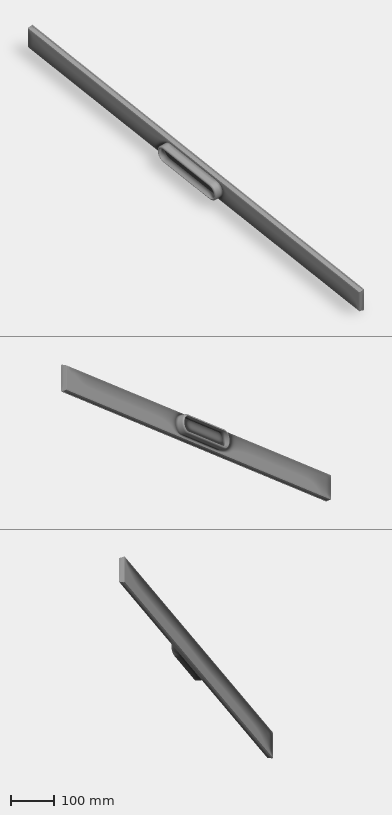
import cadquery as cq
import math

LENGTH = 1200.0
HEIGHT = 65.0
DEPTH = 36.0

COVER_DEPTH = 15.0
FLANGE_THICKNESS = 3.5
FLANGE_RELIEF = 1.1
SIDE_DRAFT = 11.0
SIDE_INSET = 3.4
BEVEL_WIDTH = 3.0
BEVEL_DROP = 0.5

CORE_BASE_HEIGHT = 54.0
CORE_BASE_DEPTH = 10.0
CORE_NOSE_HEIGHT = 40.0
CORE_DEPTH = 12.0

COLLAR_LENGTH = 211.0
COLLAR_HEIGHT = 45.0
COLLAR_WALL = 4.2
COLLAR_ROUND = 4.0
COLLAR_FLOOR = 4.0


def centred_bar(height, depth):
    """A full-length bar from the back plane, centred on X and Z."""
    return cq.Workplane("XY").box(LENGTH, depth, height).translate((0, -depth / 2, 0))


def make_core():
    base = centred_bar(CORE_BASE_HEIGHT, CORE_BASE_DEPTH)
    nose = centred_bar(CORE_NOSE_HEIGHT, CORE_DEPTH)
    return base.union(nose)


def flanged_bar(bevel_start, side_front_height):
    """The flange and the drafted sides, extruded along X as far as the front bevel."""
    side_depth = bevel_start - FLANGE_THICKNESS
    side_back_z = side_front_height / 2 + side_depth * math.tan(math.radians(SIDE_DRAFT))
    upper_half = [
        (0, HEIGHT / 2 - FLANGE_RELIEF),
        (-FLANGE_THICKNESS, HEIGHT / 2),
        (-FLANGE_THICKNESS, side_back_z),
        (-bevel_start, side_front_height / 2),
    ]
    lower_half = [(y, -z) for y, z in reversed(upper_half)]
    outline = cq.Workplane("YZ").polyline(upper_half + lower_half).close()
    return outline.extrude(LENGTH / 2, both=True)


def bevelled_front(bevel_start, side_front_height):
    """The front layer, whose rim slopes gently back on all four sides."""
    rim = cq.Workplane("XZ", origin=(0, -bevel_start, 0)).rect(LENGTH, side_front_height)
    front = rim.workplane(offset=BEVEL_DROP)
    return front.rect(LENGTH - 2 * BEVEL_WIDTH, side_front_height - 2 * BEVEL_WIDTH).loft()


def make_cover():
    bevel_start = COVER_DEPTH - BEVEL_DROP
    side_front_height = HEIGHT - 2 * SIDE_INSET
    bar = flanged_bar(bevel_start, side_front_height)
    front = bevelled_front(bevel_start, side_front_height)
    return bar.union(front).cut(make_core())


def make_collar():
    reach = DEPTH - COVER_DEPTH
    base_plane = cq.Workplane("XZ", origin=(0, -COVER_DEPTH, 0))
    cup = base_plane.slot2D(COLLAR_LENGTH, COLLAR_HEIGHT).extrude(reach)
    cup = cup.faces("<Y").edges().fillet(COLLAR_ROUND)
    pocket_length = COLLAR_LENGTH - 2 * COLLAR_WALL
    pocket_height = COLLAR_HEIGHT - 2 * COLLAR_WALL
    floor_plane = base_plane.workplane(offset=COLLAR_FLOOR)
    pocket = floor_plane.slot2D(pocket_length, pocket_height).extrude(reach - COLLAR_FLOOR)
    return cup.cut(pocket)


cover = make_cover()
core = make_core()
collar = make_collar()

result = cq.Compound.makeCompound([*cover.solids().vals(), *core.solids().vals(), *collar.solids().vals()])